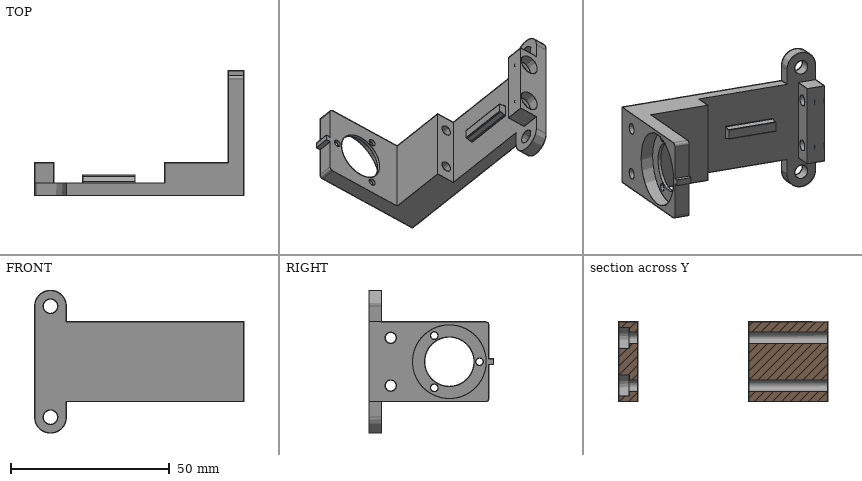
import cadquery as cq
import math

LENGTH = 66.0
ARM_HEIGHT = 25.2
PLATE_THICKNESS = 4.0

EAR_SPAN = 45.0
EAR_RADIUS = 5.0
EAR_HOLE_DIAMETER = 4.5

LUG_LENGTH = 6.1
BLOCK_START = 41.0
BLOCK_DEPTH = 10.4

SCREW_DIAMETER = 3.4
SCREW_HEAD_DIAMETER = 6.5
SCREW_HEAD_DEPTH = 3.3
SCREW_Y = 6.9
SCREW_SPACING = 15.05

WALL_THICKNESS = 5.0
WALL_DEPTH = 37.9
WALL_CORNER_RADIUS = 1.05
TAB_REACH = 1.5
TAB_HEIGHT = 1.9
MOTOR_DIAMETER = 23.2
MOTOR_FLOOR = 1.0
MOTOR_BORE_DIAMETER = 15.5
MOTOR_SCREW_DIAMETER = 2.3
MOTOR_SCREW_RADIUS = 9.5
MOTOR_SCREW_COUNT = 3
MOTOR_Y = 25.4

RIDGE_START = 15.2
RIDGE_LENGTH = 16.5
RIDGE_BASE_TOP = 4.55
RIDGE_FLANK_TOP = 6.1
RIDGE_TOP = 6.55
RIDGE_BASE_HEIGHT = 3.95
RIDGE_CROWN_HEIGHT = 3.0


def bar(x_start, x_end, depth, height):
    """Box resting on the Y = 0 face and centred on Z = 0."""
    box = cq.Workplane("XY").box(x_end - x_start, depth, height, centered=(False, False, True))
    return box.translate((x_start, 0, 0))


def rod_x(diameter, x_start, x_end, y, z):
    """Cylinder along X."""
    profile = cq.Workplane("YZ", origin=(x_start, y, z)).circle(diameter / 2)
    return profile.extrude(x_end - x_start)


def make_ears():
    hole_spacing = EAR_SPAN - 2 * EAR_RADIUS
    plane = cq.Workplane("XZ", origin=(EAR_RADIUS, 0, 0))
    ears = plane.slot2D(EAR_SPAN, 2 * EAR_RADIUS, 90).extrude(-PLATE_THICKNESS)
    holes = (
        plane.pushPoints([(0, -hole_spacing / 2), (0, hole_spacing / 2)])
        .circle(EAR_HOLE_DIAMETER / 2)
        .extrude(-PLATE_THICKNESS)
    )
    return ears.cut(holes)


def make_motor_wall():
    wall_start = LENGTH - WALL_THICKNESS
    wall = bar(wall_start, LENGTH, WALL_DEPTH, ARM_HEIGHT).edges("|X and >Y").fillet(WALL_CORNER_RADIUS)
    wall = wall.union(bar(wall_start, LENGTH, WALL_DEPTH + TAB_REACH, TAB_HEIGHT))
    wall = wall.cut(rod_x(MOTOR_BORE_DIAMETER, wall_start, LENGTH, MOTOR_Y, 0))
    wall = wall.cut(rod_x(MOTOR_DIAMETER, wall_start + MOTOR_FLOOR, LENGTH, MOTOR_Y, 0))
    for index in range(MOTOR_SCREW_COUNT):
        angle = 2 * math.pi * index / MOTOR_SCREW_COUNT
        y = MOTOR_Y + MOTOR_SCREW_RADIUS * math.cos(angle)
        z = MOTOR_SCREW_RADIUS * math.sin(angle)
        wall = wall.cut(rod_x(MOTOR_SCREW_DIAMETER, wall_start, LENGTH, y, z))
    return wall


def make_ridge():
    """Solid ridge with an upright base, sloping flanks and an upright crown."""
    base = RIDGE_BASE_HEIGHT / 2
    crown = RIDGE_CROWN_HEIGHT / 2
    return (
        cq.Workplane("YZ", origin=(RIDGE_START, 0, 0))
        .moveTo(PLATE_THICKNESS, -base)
        .lineTo(RIDGE_BASE_TOP, -base)
        .lineTo(RIDGE_FLANK_TOP, -crown)
        .lineTo(RIDGE_TOP, -crown)
        .lineTo(RIDGE_TOP, crown)
        .lineTo(RIDGE_FLANK_TOP, crown)
        .lineTo(RIDGE_BASE_TOP, base)
        .lineTo(PLATE_THICKNESS, base)
        .close()
        .extrude(RIDGE_LENGTH)
    )


def cut_long_screws(body):
    for z in (-SCREW_SPACING / 2, SCREW_SPACING / 2):
        body = body.cut(rod_x(SCREW_DIAMETER, 0, LENGTH, SCREW_Y, z))
        body = body.cut(rod_x(SCREW_HEAD_DIAMETER, 0, SCREW_HEAD_DEPTH, SCREW_Y, z))
    return body


arm = (
    bar(0, LENGTH - WALL_THICKNESS, PLATE_THICKNESS, ARM_HEIGHT)
    .union(bar(0, LUG_LENGTH, BLOCK_DEPTH, ARM_HEIGHT))
    .union(bar(BLOCK_START, LENGTH - WALL_THICKNESS, BLOCK_DEPTH, ARM_HEIGHT))
)
bracket = arm.union(make_ears()).union(make_motor_wall())
result = cut_long_screws(bracket).union(make_ridge())